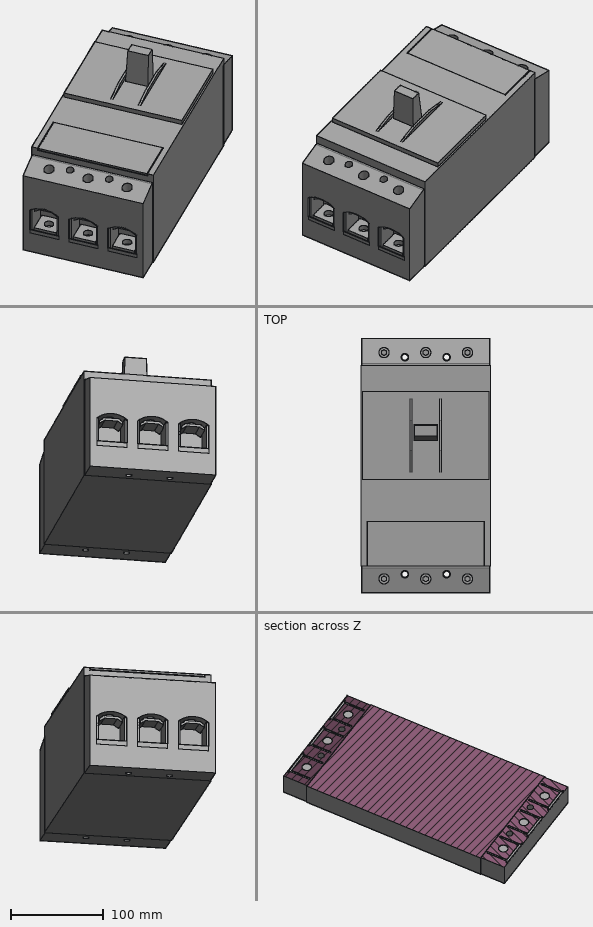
import cadquery as cq
import math

total_length = 274.4
total_height = 164.24

housing_width = 140.0
housing_length = 216.5
housing_height = 120.0
housing_end = housing_length / 2

plate_width = 136.0
plate_length = 95.0
plate_height = 5.5
plate_center_y = 32.5
plate_top = housing_height + plate_height

rib_width = 2.6
rib_spacing = 31.8
rib_length = 78.4
rib_flat_length = 32.0
rib_height = 4.5

toggle_base_width = 25.8
toggle_top_width = 23.8
toggle_base_front = 27.3
toggle_base_back = 44.2
toggle_top_front = 32.0
toggle_top_back = 43.4

pocket_width = 127.0
pocket_depth = 3.0
pocket_back_y = -60.0
lid_gap = 0.8
lid_width = pocket_width - 2 * lid_gap
lid_thickness = pocket_depth - lid_gap

terminal_width = 138.4
terminal_outer_height = 102.0
terminal_inner_height = 109.6
terminal_ledge = 2.2
terminal_face = total_length / 2
pole_pitch = 45.0
pole_positions = [-pole_pitch, 0.0, pole_pitch]

mount_y = 117.0
mount_positions = [-pole_pitch / 2, pole_pitch / 2]
mount_hole_diameter = 6.5
mount_counterbore_diameter = 8.0
mount_counterbore_floor = 50.0

screw_y = 122.0
access_diameter = 11.0
access_floor = 75.0
socket_across_flats = 5.4
socket_depth = 5.0
screw_diameter = 9.7

opening_width = 33.3
opening_depth = 2.2
opening_bottom = 24.8
lip_thickness = 1.0
lip_top = 30.0
opening_shoulder = 56.2
opening_top = 62.3
cavity_width = 28.8
cavity_depth = 27.0

clamp_width = 25.4
bar_setback = 3.5
bar_top = 31.0
bar_hole_diameter = 10.0
pressure_plate_setback = 5.2
pressure_plate_top = 58.8
pressure_plate_thickness = 2.8
pressure_plate_top_flat = 17.2
pressure_plate_under_flat = 14.0
pressure_plate_drop = 3.7


def box(width, y_start, y_end, z_start, z_end):
    """Block centred on X = 0 between the given Y and Z limits."""
    block = cq.Workplane("XY").box(
        width, y_end - y_start, z_end - z_start, centered=(True, False, False)
    )
    return block.translate((0, y_start, z_start))


def upright_cylinder(diameter, x, y, z_start, z_end):
    return cq.Workplane("XY", origin=(x, y, z_start)).circle(diameter / 2).extrude(z_end - z_start)


def along_y(profile, y_start, y_end):
    """Extrude a function's XZ outline from y_start to y_end."""
    return profile(cq.Workplane("XZ", origin=(0, y_start, 0))).extrude(y_start - y_end)


def make_rib(x_center):
    half_length = rib_length / 2
    half_flat = rib_flat_length / 2
    return (
        cq.Workplane("YZ", origin=(x_center - rib_width / 2, plate_center_y, plate_top))
        .moveTo(-half_length, 0)
        .lineTo(half_length, 0)
        .lineTo(half_flat, rib_height)
        .lineTo(-half_flat, rib_height)
        .close()
        .extrude(rib_width)
    )


def make_toggle():
    base_length = toggle_base_back - toggle_base_front
    top_length = toggle_top_back - toggle_top_front
    base_center = (toggle_base_back + toggle_base_front) / 2
    top_center = (toggle_top_back + toggle_top_front) / 2
    return (
        cq.Workplane("XY", origin=(0, base_center, plate_top))
        .rect(toggle_base_width, base_length)
        .workplane(offset=total_height - plate_top)
        .center(0, top_center - base_center)
        .rect(toggle_top_width, top_length)
        .loft(ruled=True)
    )


def make_housing():
    body = box(housing_width, -housing_end, housing_end, 0, housing_height)
    plate_front = plate_center_y - plate_length / 2
    body = body.union(
        box(plate_width, plate_front, plate_front + plate_length, housing_height, plate_top)
    )
    for x in (-rib_spacing / 2, rib_spacing / 2):
        body = body.union(make_rib(x))
    body = body.union(make_toggle())
    pocket_floor = housing_height - pocket_depth
    return body.cut(box(pocket_width, -housing_end, pocket_back_y, pocket_floor, housing_height))


def make_lid():
    return box(lid_width, -housing_end, pocket_back_y, housing_height - lid_thickness, housing_height)


def arched_outline(plane, width, bottom):
    """Upright outline of the given width under the arch shared by opening and cavity."""
    rise = opening_top - opening_shoulder
    radius = ((opening_width / 2) ** 2 + rise**2) / (2 * rise)
    arch_center = opening_top - radius
    shoulder = arch_center + math.sqrt(radius**2 - (width / 2) ** 2)
    return (
        plane.moveTo(-width / 2, bottom)
        .lineTo(width / 2, bottom)
        .lineTo(width / 2, shoulder)
        .threePointArc((0, opening_top), (-width / 2, shoulder))
        .close()
    )


def pressure_plate_outline(plane):
    half_width = clamp_width / 2
    half_top_flat = pressure_plate_top_flat / 2
    half_under_flat = pressure_plate_under_flat / 2
    top = pressure_plate_top
    under = top - pressure_plate_thickness
    return plane.polyline(
        [
            (-half_width, top - pressure_plate_drop),
            (-half_top_flat, top),
            (half_top_flat, top),
            (half_width, top - pressure_plate_drop),
            (half_width, under - pressure_plate_drop),
            (half_under_flat, under),
            (-half_under_flat, under),
            (-half_width, under - pressure_plate_drop),
        ]
    ).close()


def make_cavity():
    """Space to remove for one pole at X = 0, with its lip, clamp and screw left standing."""
    face = -terminal_face
    back = face + cavity_depth
    opening = along_y(
        lambda plane: arched_outline(plane, opening_width, opening_bottom), face, face + opening_depth
    )
    cavity = along_y(lambda plane: arched_outline(plane, cavity_width, opening_bottom), face, back)
    lip = box(opening_width, face, face + lip_thickness, opening_bottom, lip_top)
    bar = box(clamp_width, face + bar_setback, back, opening_bottom, bar_top)
    bar = bar.cut(upright_cylinder(bar_hole_diameter, 0, -screw_y, opening_bottom, bar_top))
    plate = along_y(pressure_plate_outline, face + pressure_plate_setback, back)
    screw = upright_cylinder(screw_diameter, 0, -screw_y, pressure_plate_top, opening_top)
    return opening.union(cavity).cut(lip).cut(bar).cut(plate).cut(screw)


def make_screw_access():
    """Access hole of one pole at X = 0 down to the screw head, with the hexagonal socket below."""
    hole = upright_cylinder(access_diameter, 0, -screw_y, access_floor, terminal_inner_height)
    corner_diameter = socket_across_flats / math.cos(math.pi / 6)
    socket = (
        cq.Workplane("XY", origin=(0, -screw_y, access_floor - socket_depth))
        .transformed(rotate=(0, 0, 90))
        .polygon(6, corner_diameter)
        .extrude(socket_depth)
    )
    return hole.union(socket)


def make_front_terminal():
    block = (
        cq.Workplane("YZ", origin=(-terminal_width / 2, 0, 0))
        .moveTo(-housing_end, 0)
        .lineTo(-terminal_face, 0)
        .lineTo(-terminal_face, terminal_outer_height)
        .lineTo(-housing_end - terminal_ledge, terminal_inner_height)
        .lineTo(-housing_end, terminal_inner_height)
        .close()
        .extrude(terminal_width)
    )
    cavity = make_cavity()
    access = make_screw_access()
    for x in pole_positions:
        block = block.cut(cavity.translate((x, 0, 0)))
        block = block.cut(access.translate((x, 0, 0)))
    for x in mount_positions:
        block = block.cut(upright_cylinder(mount_hole_diameter, x, -mount_y, 0, terminal_inner_height))
        block = block.cut(
            upright_cylinder(
                mount_counterbore_diameter, x, -mount_y, mount_counterbore_floor, terminal_inner_height
            )
        )
    return block


housing = make_housing()
lid = make_lid()
terminals = [make_front_terminal().rotate((0, 0, 0), (0, 0, 1), angle) for angle in (0, 180)]

result = cq.Compound.makeCompound(
    [housing.val(), lid.val(), *[terminal.val() for terminal in terminals]]
)